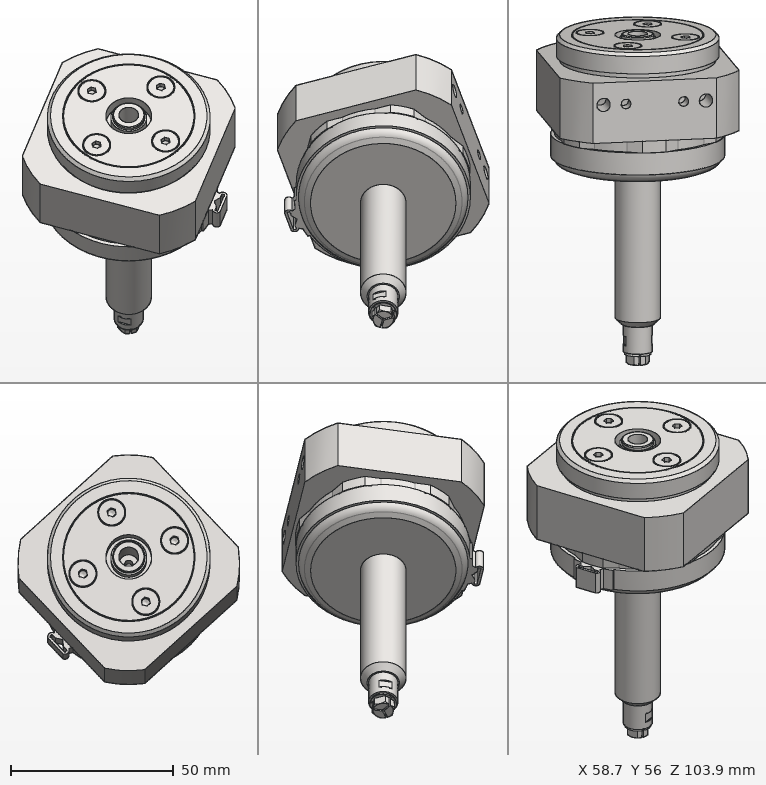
import cadquery as cq
import math

TOTAL_HEIGHT = 103.86
TUBE_TOP = 0.36
FLANGE_BOTTOM = -6.5
BLOCK_TOP = -8.0
BLOCK_BOTTOM = -27.0
CAP_TOP = -31.0
CAP_STEP = -38.0
CAP_ROUND_END = -40.4
CAP_BOTTOM = -41.1
SHAFT_BOTTOM = -89.1
CONE_BOTTOM = -91.1
NOSE_BOTTOM = -99.7
COLLET_RIM = -100.5
COLLET_BOTTOM = TUBE_TOP - TOTAL_HEIGHT

FLANGE_D = 50.0
FLANGE_CHAMFER = 1.0
NECK_D = 48.0
BLOCK_SIDE = 56.0
BLOCK_CORNER_D = 68.0

COVER_D = 40.0
GAP_WIDTH = 0.3
GAP_DEPTH = 0.5
SCREW_COUNT = 4
SCREW_CIRCLE_D = 30.0
SCREW_START_ANGLE = 67.5
SCREW_HEAD_D = 8.0
SOCKET_FLATS = 2.5
SOCKET_DEPTH = 1.5
SOCKET_CONE_DEPTH = 0.7
RECESS_D = 14.0
RECESS_DEPTH = 4.0
COLLAR_D = 11.0
COLLAR_TOP = -0.8
TUBE_D = 9.9
TUBE_CHAMFER = 0.3
BORE_D = 6.0
BORE_DEPTH = 10.0
PILOT_D = 2.5
PILOT_DEPTH = 5.0

SLEEVE_D = 50.0
PORT_Z = -15.0
PORT_SIZES = ((16.0, 4.13), (9.0, 3.0))

NUT_FLATS = 50.0
NUT_TIP_D = 54.0
NUT_ROUND_D = 51.1

CAP_D = 53.5
CAP_ROUND_D = 52.0
CAP_ROUND_RADIUS = 3.0
CAP_CHAMFER_D = 48.4
CAP_FACE_D = 44.6
SHAFT_D = 14.0
CONE_END_D = 9.9
NOSE_D = 9.0
WRENCH_FLATS = 8.0
WRENCH_TOP = -94.6
WRENCH_HEIGHT = 2.9

COLLET_NECK_D = 7.8
COLLET_RIM_D = 8.2
COLLET_HEX_D = 7.2
COLLET_TIP_D = 6.2
COLLET_TIP_HEIGHT = 0.4
SLIT_COUNT = 3
SLIT_START_ANGLE = 60
SLIT_WIDTH = 0.5

CLIP_REACH = 30.69
CLIP_WALL = 0.8
CLIP_PAD_THICKNESS = 0.6
CLIP_PAD_HALF_WIDTH = 7.0
CLIP_HALF_WIDTH = 4.2
CLIP_CROWN_X = 29.4
CLIP_ROOT_X = 28.2
CLIP_ROOT_HALF_WIDTH = 3.4
CLIP_BASE_X = 26.0
CLIP_BASE_HALF_WIDTH = 4.5
CLIP_VEE_X = 27.7
CLIP_VEE_HALF_WIDTH = 1.9


def cylinder(diameter, z_bottom, z_top):
    return cq.Workplane("XY").workplane(offset=z_bottom).circle(diameter / 2).extrude(z_top - z_bottom)


def hexagon(corner_d, z_bottom, z_top):
    return cq.Workplane("XY").workplane(offset=z_bottom).polygon(6, corner_d).extrude(z_top - z_bottom)


def corner_diameter(across_flats):
    return across_flats / math.cos(math.pi / 6)


def ring_gap(inner_diameter):
    """Shallow ring-shaped gap cut down from the top face."""
    outer = cylinder(inner_diameter + 2 * GAP_WIDTH, -GAP_DEPTH, 0)
    return outer.cut(cylinder(inner_diameter, -GAP_DEPTH, 0))


def make_upper_body():
    flange = cylinder(FLANGE_D, FLANGE_BOTTOM, 0).faces(">Z").chamfer(FLANGE_CHAMFER)
    neck = cylinder(NECK_D, BLOCK_TOP, FLANGE_BOTTOM)
    block_height = BLOCK_TOP - BLOCK_BOTTOM
    block = cq.Workplane("XY").workplane(offset=BLOCK_BOTTOM).rect(BLOCK_SIDE, BLOCK_SIDE)
    block = block.extrude(block_height)
    block = block.intersect(cylinder(BLOCK_CORNER_D, BLOCK_BOTTOM, BLOCK_TOP))
    return flange.union(neck).union(block)


def make_nut():
    lobes = hexagon(corner_diameter(NUT_FLATS), CAP_TOP, BLOCK_BOTTOM)
    lobes = lobes.intersect(cylinder(NUT_TIP_D, CAP_TOP, BLOCK_BOTTOM))
    return lobes.union(cylinder(NUT_ROUND_D, CAP_TOP, BLOCK_BOTTOM))


def make_cap_and_shaft():
    """Turned profile from the cap down to the rim of the collet."""
    profile = (
        cq.Workplane("XZ")
        .moveTo(0, CAP_TOP)
        .lineTo(CAP_D / 2, CAP_TOP)
        .lineTo(CAP_D / 2, CAP_STEP)
        .lineTo(CAP_ROUND_D / 2, CAP_STEP)
        .radiusArc((CAP_CHAMFER_D / 2, CAP_ROUND_END), CAP_ROUND_RADIUS)
        .lineTo(CAP_FACE_D / 2, CAP_BOTTOM)
        .lineTo(SHAFT_D / 2, CAP_BOTTOM)
        .lineTo(SHAFT_D / 2, SHAFT_BOTTOM)
        .lineTo(CONE_END_D / 2, CONE_BOTTOM)
        .lineTo(NOSE_D / 2, CONE_BOTTOM)
        .lineTo(NOSE_D / 2, NOSE_BOTTOM)
        .lineTo(COLLET_NECK_D / 2, NOSE_BOTTOM)
        .lineTo(COLLET_RIM_D / 2, COLLET_RIM)
        .lineTo(0, COLLET_RIM)
        .close()
    )
    return profile.revolve(360, (0, 0, 0), (0, 1, 0))


def make_collet_hex():
    """Hexagon with two corners on the Y axis and a conical lead at its tip."""
    hex_body = hexagon(COLLET_HEX_D, COLLET_BOTTOM, COLLET_RIM).rotate((0, 0, 0), (0, 0, 1), 30)
    envelope = cylinder(COLLET_HEX_D, COLLET_BOTTOM, COLLET_RIM)
    tip_inset = (COLLET_HEX_D - COLLET_TIP_D) / 2
    return hex_body.intersect(envelope.faces("<Z").chamfer(COLLET_TIP_HEIGHT, tip_inset))


def make_clip():
    """Pad wrapped on the cap, carrying a closed loop with a V-shaped inner wall."""
    height = CAP_TOP - CAP_STEP
    base = cq.Workplane("XY").workplane(offset=CAP_STEP)
    pad_box = base.center(CLIP_REACH / 2, 0).rect(CLIP_REACH, 2 * CLIP_PAD_HALF_WIDTH).extrude(height)
    pad = cylinder(CAP_D + 2 * CLIP_PAD_THICKNESS, CAP_STEP, CAP_TOP).intersect(pad_box)

    bend_y = CLIP_HALF_WIDTH - CLIP_WALL
    loop = (
        base.moveTo(CLIP_BASE_X, -CLIP_BASE_HALF_WIDTH)
        .lineTo(CLIP_ROOT_X, -CLIP_ROOT_HALF_WIDTH)
        .threePointArc((CLIP_CROWN_X, -CLIP_HALF_WIDTH), (CLIP_REACH, -bend_y))
        .lineTo(CLIP_REACH, bend_y)
        .threePointArc((CLIP_CROWN_X, CLIP_HALF_WIDTH), (CLIP_ROOT_X, CLIP_ROOT_HALF_WIDTH))
        .lineTo(CLIP_BASE_X, CLIP_BASE_HALF_WIDTH)
        .close()
        .extrude(height)
    )
    window_right = CLIP_REACH - CLIP_WALL
    window_left = CLIP_ROOT_X + CLIP_WALL
    window = (
        base.moveTo(window_right, -bend_y)
        .lineTo(window_right, bend_y)
        .lineTo(window_left, bend_y)
        .lineTo(window_left, CLIP_VEE_HALF_WIDTH)
        .lineTo(CLIP_VEE_X, 0)
        .lineTo(window_left, -CLIP_VEE_HALF_WIDTH)
        .lineTo(window_left, -bend_y)
        .close()
        .extrude(height)
    )
    return pad.union(loop.cut(window))


def cut_cover_details(body):
    body = body.cut(ring_gap(COVER_D))
    socket = hexagon(corner_diameter(SOCKET_FLATS), -SOCKET_DEPTH, 0)
    cone_tip = cq.Vector(0, 0, -SOCKET_DEPTH - SOCKET_CONE_DEPTH)
    socket_cone = cq.Solid.makeCone(0, SOCKET_FLATS / 2, SOCKET_CONE_DEPTH, cone_tip)
    screw_cut = ring_gap(SCREW_HEAD_D).union(socket).union(cq.Workplane(socket_cone))
    for i in range(SCREW_COUNT):
        angle = math.radians(SCREW_START_ANGLE + i * 360 / SCREW_COUNT)
        x = SCREW_CIRCLE_D / 2 * math.cos(angle)
        y = SCREW_CIRCLE_D / 2 * math.sin(angle)
        body = body.cut(screw_cut.translate((x, y, 0)))
    return body


def add_centre_tube(body):
    body = body.cut(cylinder(RECESS_D, -RECESS_DEPTH, 0))
    body = body.union(cylinder(COLLAR_D, -RECESS_DEPTH, COLLAR_TOP))
    body = body.union(cylinder(TUBE_D, -RECESS_DEPTH, TUBE_TOP).faces(">Z").chamfer(TUBE_CHAMFER))
    body = body.cut(cylinder(BORE_D, -BORE_DEPTH, TUBE_TOP))
    return body.cut(cylinder(PILOT_D, -BORE_DEPTH - PILOT_DEPTH, -BORE_DEPTH))


def cut_ports(body):
    sleeve = cylinder(SLEEVE_D, BLOCK_BOTTOM, BLOCK_TOP)
    for offset, diameter in PORT_SIZES:
        for y in (-offset, offset):
            port = (
                cq.Workplane("YZ")
                .workplane(offset=-BLOCK_SIDE / 2)
                .center(y, PORT_Z)
                .circle(diameter / 2)
                .extrude(BLOCK_SIDE / 2)
            )
            body = body.cut(port.cut(sleeve))
    return body


def cut_wrench_flats(body):
    for side in (-1, 1):
        y = side * (WRENCH_FLATS + NOSE_D) / 2
        z = WRENCH_TOP - WRENCH_HEIGHT / 2
        flat = cq.Workplane("XY").box(NOSE_D, NOSE_D, WRENCH_HEIGHT).translate((0, y, z))
        body = body.cut(flat)
    return body


def cut_collet_slits(body):
    height = NOSE_BOTTOM - COLLET_BOTTOM
    slit = cq.Workplane("XY").workplane(offset=COLLET_BOTTOM)
    slit = slit.center(COLLET_RIM_D / 2, 0).rect(COLLET_RIM_D, SLIT_WIDTH).extrude(height)
    for i in range(SLIT_COUNT):
        angle = SLIT_START_ANGLE + i * 360 / SLIT_COUNT
        body = body.cut(slit.rotate((0, 0, 0), (0, 0, 1), angle))
    return body


body = make_upper_body().union(make_nut()).union(make_cap_and_shaft())
body = body.union(make_collet_hex()).union(make_clip())
body = cut_cover_details(body)
body = add_centre_tube(body)
body = cut_ports(body)
body = cut_wrench_flats(body)
result = cut_collet_slits(body)